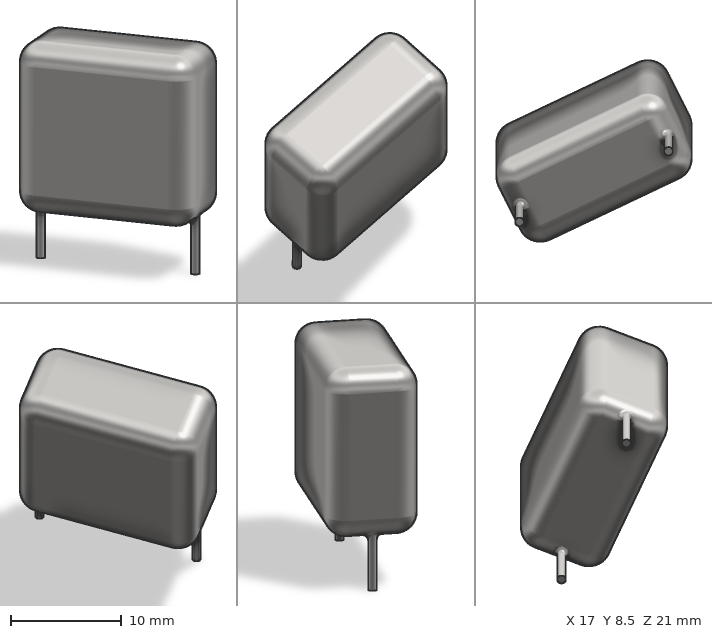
import cadquery as cq

total_height = 21.0
body_length = 17.0
body_width = 8.5
lead_drop = 5.0
body_height = total_height - lead_drop

edge_radius = 2.0
lead_pitch = 15.0
lead_diameter = 0.8
root_radius = 0.5


def make_body():
    """Block standing on the XY plane, rounded on all edges."""
    block = cq.Workplane("XY").box(body_length, body_width, body_height, centered=(True, True, False))
    return block.edges().fillet(edge_radius)


def make_leads():
    """Two round leads, starting inside the body above its rounded lower edge."""
    lead_positions = [(-lead_pitch / 2, 0), (lead_pitch / 2, 0)]
    return (
        cq.Workplane("XY", origin=(0, 0, -lead_drop))
        .pushPoints(lead_positions)
        .circle(lead_diameter / 2)
        .extrude(lead_drop + edge_radius)
    )


def fillet_lead_roots(part):
    """Blend each lead into the body along the curve where they meet."""
    root_edges = part.edges("%BSPLINE")
    return root_edges.fillet(root_radius)


part = make_body().union(make_leads())
result = fillet_lead_roots(part)